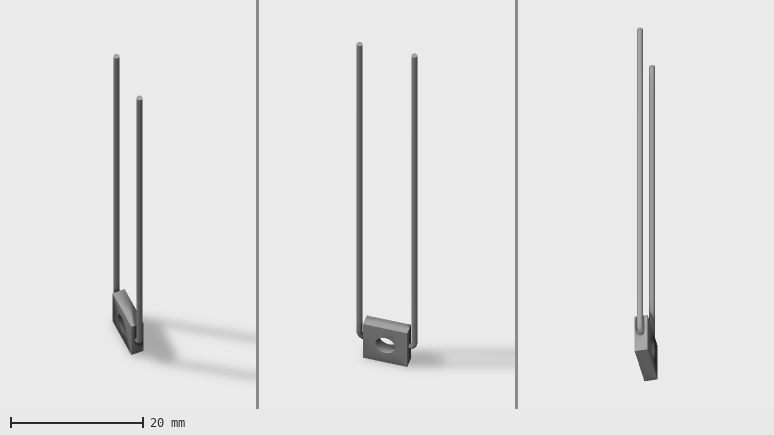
import cadquery as cq

total_height = 64.3
total_width = 9.6

body_side = 7.0
body_thickness = 2.0
hole_diameter = 3.1

lead_diameter = 0.9
lead_offset = (total_width - lead_diameter) / 2
bend_radius = lead_offset - body_side / 2
lead_entry_height = body_side / 2


def make_body():
    """Square block, centred on X and Y, with a round hole along Y."""
    block = cq.Workplane("XY").box(body_side, body_thickness, body_side, centered=(True, True, False))
    return block.faces("<Y").workplane(centerOption="CenterOfBoundBox").hole(hole_diameter)


def make_lead(side):
    """Lead on one side of the body: side is -1 for -X and +1 for +X."""
    bend_top = lead_entry_height + bend_radius
    straight = (
        cq.Workplane("XY", origin=(side * lead_offset, 0, bend_top))
        .circle(lead_diameter / 2)
        .extrude(total_height - bend_top)
    )
    bend = (
        cq.Workplane("XY", origin=(side * lead_offset, 0, bend_top))
        .circle(lead_diameter / 2)
        .revolve(90, (-side * bend_radius, 0, 0), (-side * bend_radius, side, 0))
    )
    return straight.union(bend)


body = make_body()
leads = [make_lead(side) for side in (-1, 1)]

result = cq.Compound.makeCompound([body.val(), *[lead.val() for lead in leads]])